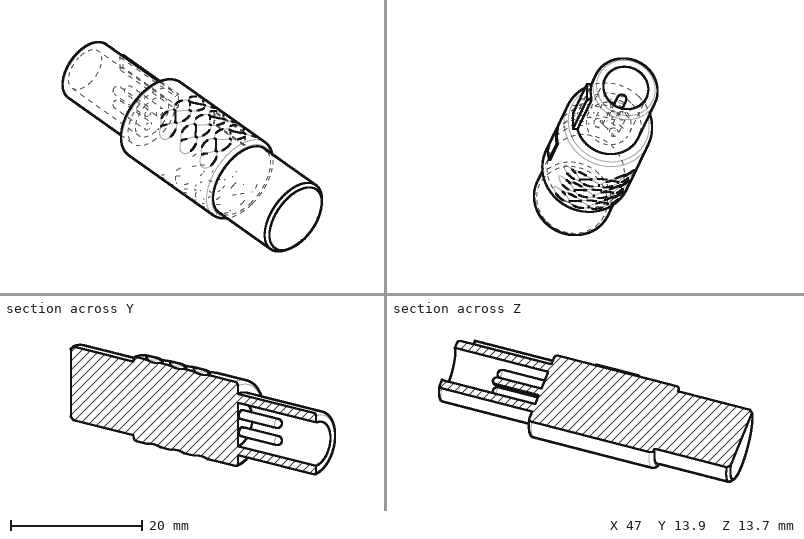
import cadquery as cq
total_length = 47.0
nose_diameter = 10.0
grip_diameter = 13.7
grip_start = 14.95
grip_end = 34.95
rear_diameter = 12.0
nose_rounding = 0.45
grip_rounding = 0.55
rear_chamfer = 0.5

bore_diameter = 6.95
bore_depth = grip_start
pin_diameter = 1.4
pin_circle_radius = 1.6
pin_count = 3
pin_length = 7.5

key_start = 2.5
key_width = 2.55
key_height = 5.55

pad_start = 21.5
pad_end = 28.3
pad_width = 2.55
pad_height = 0.2

dent_radius = 4.0
dent_depth = 0.21
dent_length = 5.65
dent_step = 360 / 28
band_start = 22.1
band_pitch = 4.5
band_count = 3
row_offset = 0.95
front_row_steps = (-2, 0, 2)
back_row_steps = (-3, -1, 1, 3)


def barrel(start, end, diameter):
    """Solid cylinder along X between two stations."""
    return cq.Workplane("YZ", origin=(start, 0, 0)).circle(diameter / 2).extrude(end - start)


def block(start, end, height, width):
    """Box from the part axis out to a height in +Y, centred on Z = 0."""
    base = cq.Workplane("XY", origin=(start, 0, 0))
    return base.box(end - start, height, width, centered=(False, False, True))


def make_body():
    nose = barrel(0, grip_start, nose_diameter).faces("<X").edges().fillet(nose_rounding)
    grip = barrel(grip_start, grip_end, grip_diameter).edges("%CIRCLE").fillet(grip_rounding)
    rear = barrel(grip_end, total_length, rear_diameter).faces(">X").edges().chamfer(rear_chamfer)
    return nose.union(grip).union(rear)


def make_key():
    return block(key_start, grip_start, key_height, key_width)


def make_pad():
    pad_radius = grip_diameter / 2 + pad_height
    outer = barrel(pad_start, pad_end, 2 * pad_radius)
    return outer.intersect(block(pad_start, pad_end, 2 * pad_radius, pad_width))


def make_pin(angle):
    """Round-nosed pin on the bore floor; the angle is measured from +Y about X."""
    tip_center = bore_depth - pin_length + pin_diameter / 2
    tip = cq.Workplane("XY", origin=(tip_center, 0, 0)).sphere(pin_diameter / 2)
    pin = barrel(tip_center, bore_depth, pin_diameter).union(tip)
    return pin.translate((0, pin_circle_radius, 0)).rotate((0, 0, 0), (1, 0, 0), angle)


def make_dent(x, angle):
    """Cylinder lying crosswise on the grip; the angle is measured from +Z about X."""
    axis_height = grip_diameter / 2 - dent_depth + dent_radius
    cutter = cq.Workplane("XZ", origin=(x, dent_length / 2, axis_height))
    cutter = cutter.circle(dent_radius).extrude(dent_length)
    return cutter.rotate((0, 0, 0), (1, 0, 0), angle)


result = make_body().union(make_key()).union(make_pad())
result = result.cut(barrel(0, bore_depth, bore_diameter))
for index in range(pin_count):
    result = result.union(make_pin(index * 360 / pin_count))

for side_angle in (0, 180):
    for band in range(band_count):
        front_x = band_start + band * band_pitch
        for step in front_row_steps:
            result = result.cut(make_dent(front_x, side_angle + step * dent_step))
        for step in back_row_steps:
            result = result.cut(make_dent(front_x + row_offset, side_angle + step * dent_step))